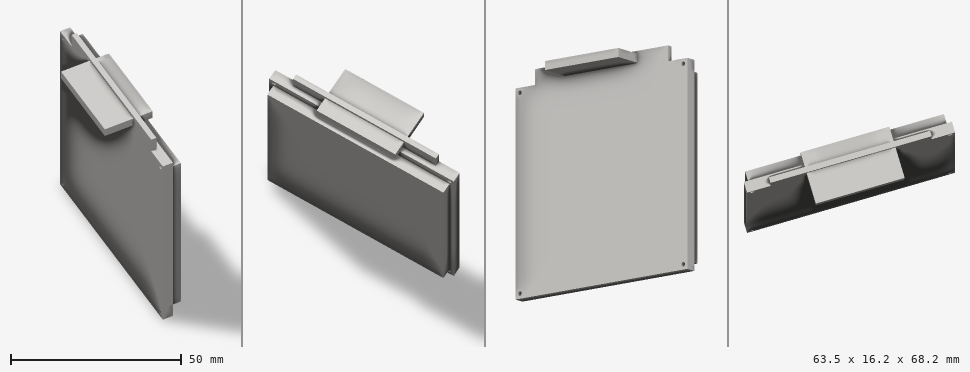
import cadquery as cq

plate_side = 63.5
plate_thickness = 3.35

block_width = 60.6
block_height = 57.35
block_thickness = 3.4

overall_height = 68.25
tab_width = 49.15
tab_thickness = 1.7
tab_height = overall_height - plate_side

bar_width = 27.1
bar_height = 2.7
bar_front_reach = 9.5
bar_depth = 15.9
bar_top_gap = 0.95

hole_diameter = 1.35
hole_inset = 1.6


def centred_box(width, depth, height, front, bottom):
    """Box centred on X, with its front face and bottom face placed."""
    box = cq.Workplane("XY").box(width, depth, height, centered=(True, False, False))
    return box.translate((0, front, bottom))


plate = centred_box(plate_side, plate_thickness, plate_side, 0, 0)
block_bottom = (plate_side - block_height) / 2
block = centred_box(block_width, block_thickness, block_height, plate_thickness, block_bottom)
tab = centred_box(tab_width, tab_thickness, tab_height, 0, plate_side)
bar_bottom = overall_height - bar_top_gap - bar_height
bar = centred_box(bar_width, bar_depth, bar_height, -bar_front_reach, bar_bottom)

hole_spacing = plate_side - 2 * hole_inset
holes = (
    cq.Workplane("XZ", origin=(0, 0, plate_side / 2))
    .rect(hole_spacing, hole_spacing, forConstruction=True)
    .vertices()
    .circle(hole_diameter / 2)
    .extrude(-plate_thickness)
)

result = plate.cut(holes).union(block).union(tab).union(bar)